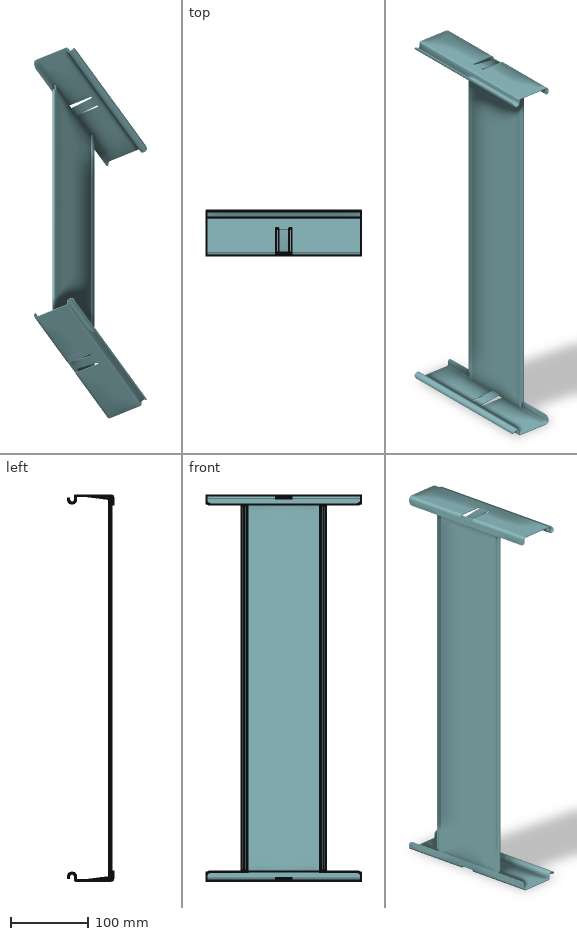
import cadquery as cq
import math

rail_length = 200.0
depth = 58.5
height = 498.5
sheet = 1.0

front = -depth / 2
back = depth / 2
top = height / 2
lip_height = 12.0
corner_radius = 5.0
bend_radius = 4.0
bend_inner = bend_radius - sheet
hook_radius = 5.0
hook_inner = hook_radius - sheet
hook_drop = 5.5
hook_rise = 1.5
hook_bend_radius = 1.5
hook_bend_inner = hook_bend_radius - sheet

slot_width = 20.0
slit_width = 3.0
tab_width = slot_width - 2 * slit_width
tab_reach = 34.0
tab_drop = 4.0

panel_sheet = 1.5
panel_setback = 2.5
panel_front = front + panel_setback
panel_gap = 2.15
center_half_width = 47.0
step_run = 1.5
notch_half_width = 51.5
panel_half_width = 55.0
hem_edge_radius = 1.45
hem_clearance = 1.5
hem_half_height = top - lip_height - hem_clearance

DIAGONAL = math.sqrt(0.5)


def box(x_min, x_max, y_min, y_max, z_min, z_max):
    """Box given by its limits along each axis."""
    size = (x_max - x_min, y_max - y_min, z_max - z_min)
    return cq.Workplane("XY").box(*size, centered=False).translate((x_min, y_min, z_min))


def extrude_along_x(outline, width):
    """Extrude a closed YZ outline symmetrically about X = 0."""
    return outline.close().extrude(width / 2, both=True)


def corner_trim(y_min, y_max, edge_z, inward):
    """Waste outside a rounded corner at the +X rail end; inward is the Z direction into the sheet."""
    end_x = rail_length / 2
    center_x = end_x - corner_radius
    center_z = edge_z + inward * corner_radius
    z_min, z_max = sorted((edge_z, center_z))
    corner = box(center_x, end_x, y_min, y_max, z_min, z_max)
    rounding = (
        cq.Workplane("XZ", origin=(center_x, y_max, center_z))
        .circle(corner_radius)
        .extrude(y_max - y_min)
    )
    return corner.cut(rounding)


def rail_sheet():
    """Bent sheet of the upper rail, before its slot is cut."""
    bend_y = front + bend_radius
    bend_z = top - bend_radius
    hook_y = back - hook_radius
    hook_z = top - hook_drop
    wall_y = hook_y - hook_inner
    corner_y = wall_y - hook_bend_radius
    corner_z = top - hook_bend_radius

    outline = (
        cq.Workplane("YZ")
        .moveTo(front, top - lip_height)
        .lineTo(front, bend_z)
        .threePointArc(
            (bend_y - bend_radius * DIAGONAL, bend_z + bend_radius * DIAGONAL),
            (bend_y, top),
        )
        .lineTo(corner_y, top)
        .threePointArc(
            (corner_y + hook_bend_radius * DIAGONAL, corner_z + hook_bend_radius * DIAGONAL),
            (wall_y, corner_z),
        )
        .lineTo(wall_y, hook_z)
        .threePointArc((hook_y, hook_z - hook_inner), (hook_y + hook_inner, hook_z))
        .lineTo(hook_y + hook_inner, hook_z + hook_rise)
        .lineTo(back, hook_z + hook_rise)
        .lineTo(back, hook_z)
        .threePointArc((hook_y, hook_z - hook_radius), (hook_y - hook_radius, hook_z))
        .lineTo(wall_y - sheet, corner_z)
        .threePointArc(
            (corner_y + hook_bend_inner * DIAGONAL, corner_z + hook_bend_inner * DIAGONAL),
            (corner_y, top - sheet),
        )
        .lineTo(bend_y, top - sheet)
        .threePointArc(
            (bend_y - bend_inner * DIAGONAL, bend_z + bend_inner * DIAGONAL),
            (front + sheet, bend_z),
        )
        .lineTo(front + sheet, top - lip_height)
    )
    rail = extrude_along_x(outline, rail_length)

    lip_trim = corner_trim(front, bend_y, top - lip_height, 1)
    hook_trim = corner_trim(hook_y, back, hook_z + hook_rise, -1)
    for trim in (lip_trim, hook_trim):
        rail = rail.cut(trim).cut(trim.mirror("YZ"))
    return rail


def slot():
    """Opening around the tab, running out through the front bend between two round-ended slits."""
    half_slot = slot_width / 2
    bottom = top - bend_radius
    tab_root = front + tab_reach
    opening = box(-half_slot, half_slot, front, tab_root, bottom, top)
    slit_ends = (
        cq.Workplane("XY", origin=(0, tab_root, bottom))
        .pushPoints([(side * (slot_width - slit_width) / 2, 0) for side in (-1, 1)])
        .circle(slit_width / 2)
        .extrude(bend_radius)
    )
    return opening.union(slit_ends)


def tab():
    """Tongue sloping from the flange down into the panel near its top edge."""
    root_y = front + tab_reach
    tip_y = panel_front + panel_sheet / 2
    outline = cq.Workplane("YZ").polyline([
        (root_y, top),
        (root_y, top - sheet),
        (tip_y, top - tab_drop - sheet),
        (tip_y, top - tab_drop),
    ])
    return extrude_along_x(outline, tab_width)


def panel():
    """Upright panel whose side edges step back and are hemmed forward."""
    half_height = top - panel_gap
    middle = panel_front + panel_sheet
    rear = middle + panel_sheet
    step_end = center_half_width + step_run
    body = (
        cq.Workplane("XY")
        .polyline([
            (-center_half_width, panel_front),
            (center_half_width, panel_front),
            (step_end, middle),
            (notch_half_width, middle),
            (notch_half_width, rear),
            (step_end, rear),
            (center_half_width, middle),
            (-center_half_width, middle),
            (-step_end, rear),
            (-notch_half_width, rear),
            (-notch_half_width, middle),
            (-step_end, middle),
        ])
        .close()
        .extrude(half_height, both=True)
    )

    hem = box(notch_half_width, panel_half_width, panel_front, rear, -hem_half_height, hem_half_height)
    hem = hem.edges(">X and |Z").fillet(hem_edge_radius)
    return body.union(hem).union(hem.mirror("YZ"))


upper_rail = rail_sheet().cut(slot()).union(tab())
lower_rail = upper_rail.mirror("XY")
result = panel().union(upper_rail).union(lower_rail)